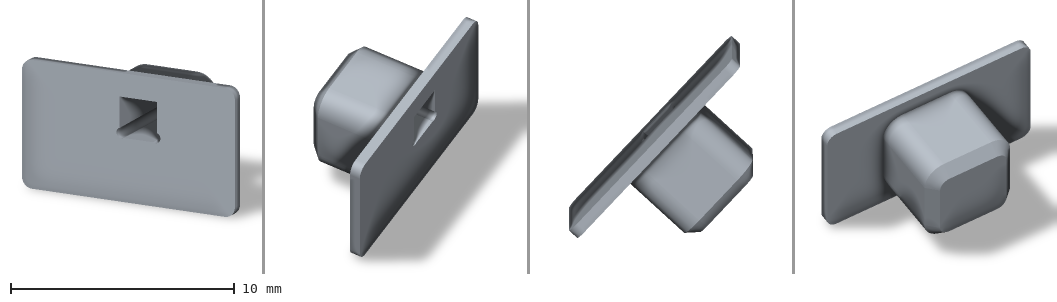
import cadquery as cq

plate_width = 10.7
plate_height = 6.0
wall = 0.5
plate_corner_radius = wall

total_depth = 4.5
plug_size = 4.5
plug_center_x = 0.15
plug_corner_radius = 1.01
plug_chamfer = wall

pocket_width = 1.88
pocket_bottom = -0.01
pocket_top = 1.89
pocket_center_x = 0.5
pocket_depth = total_depth - wall

relief_radius = 0.25
relief_inset = 0.09
relief_rise = 0.21


def block(width, height, depth, center_x=0, center_z=0):
    """Rectangular block running from Y = 0 to Y = depth."""
    return (
        cq.Workplane("XZ")
        .center(center_x, center_z)
        .rect(width, height)
        .extrude(-depth)
    )


def make_plate():
    plate = block(plate_width, plate_height, wall)
    return plate.edges("|Y").fillet(plate_corner_radius)


def make_plug():
    plug = block(plug_size, plug_size, total_depth, plug_center_x)
    plug = plug.edges("|Y").fillet(plug_corner_radius)
    return plug.faces(">Y").chamfer(plug_chamfer)


def make_pocket():
    pocket_height = pocket_top - pocket_bottom
    pocket_center_z = (pocket_top + pocket_bottom) / 2
    pocket = block(pocket_width, pocket_height, pocket_depth, pocket_center_x, pocket_center_z)
    relief_offset = pocket_width / 2 - relief_inset
    relief_z = pocket_bottom + relief_rise
    reliefs = (
        cq.Workplane("XZ")
        .pushPoints([(pocket_center_x + side * relief_offset, relief_z) for side in (-1, 1)])
        .circle(relief_radius)
        .extrude(-pocket_depth)
    )
    return pocket.union(reliefs)


result = make_plate().union(make_plug()).cut(make_pocket())